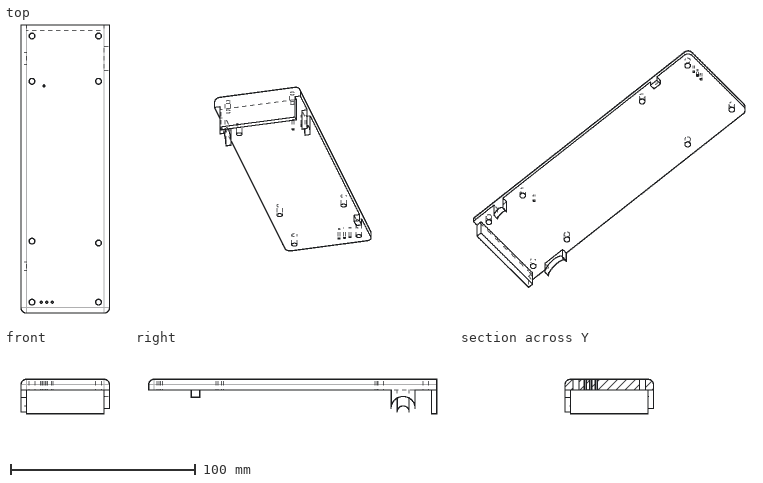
import cadquery as cq

plate_width = 48.0
plate_length = 156.0
plate_thickness = 6.0
edge_radius = 3.0

total_height = 18.85
wall_thickness = 3.0
end_wall_depth = total_height - plate_thickness

leg_center_y = plate_length - 18.25
left_leg_width = 6.5
left_leg_depth = 11.8
right_leg_width = 2 * left_leg_width
right_leg_depth = 9.9

tab_start_y = 23.0
tab_length = 4.7
tab_depth = 3.8

screw_hole_diameter = 3.0
hole_inset = 6.0
left_hole_x = hole_inset
right_hole_x = plate_width - hole_inset
inner_back_hole_y = plate_length - 30.5
left_inner_front_hole_y = 39.0
right_inner_front_hole_y = 38.0

pinhole_diameter = 1.0
front_pinhole_xs = (11.0, 14.0, 17.0)
back_pinhole_x = 12.5
back_pinhole_y = plate_length - 33.0


def make_plate():
    """Plate rounded along the sides and front; the back end stays flat."""
    plate = cq.Workplane("XY").box(plate_width, plate_length, plate_thickness, centered=False)
    plate = plate.edges("|Z and <Y").fillet(edge_radius)
    return plate.faces(">Z").edges("not(>Y)").fillet(edge_radius)


def block_below(x, y, width, length, depth):
    """Rectangular block hanging from the underside of the plate."""
    return cq.Workplane("XY").box(width, length, depth, centered=False).translate((x, y, -depth))


def arched_leg(x, width, depth):
    """Leg along a side edge with a half-round arch cut into its lower end."""
    radius = width / 2
    return (
        cq.Workplane("YZ", origin=(x, leg_center_y, 0))
        .moveTo(-radius, 0)
        .lineTo(-radius, -depth)
        .threePointArc((0, radius - depth), (radius, -depth))
        .lineTo(radius, 0)
        .close()
        .extrude(wall_thickness)
    )


def through_holes(diameter, centers):
    """Vertical cutters that pass through the plate."""
    return cq.Workplane("XY").pushPoints(centers).circle(diameter / 2).extrude(plate_thickness)


right_leg_x = plate_width - wall_thickness
end_wall_width = plate_width - 2 * wall_thickness
end_wall_y = plate_length - wall_thickness

screw_hole_centers = [
    (left_hole_x, hole_inset),
    (right_hole_x, hole_inset),
    (left_hole_x, left_inner_front_hole_y),
    (right_hole_x, right_inner_front_hole_y),
    (left_hole_x, inner_back_hole_y),
    (right_hole_x, inner_back_hole_y),
    (left_hole_x, plate_length - hole_inset),
    (right_hole_x, plate_length - hole_inset),
]
pinhole_centers = [(x, hole_inset) for x in front_pinhole_xs]
pinhole_centers.append((back_pinhole_x, back_pinhole_y))

result = (
    make_plate()
    .union(block_below(wall_thickness, end_wall_y, end_wall_width, wall_thickness, end_wall_depth))
    .union(arched_leg(0, left_leg_width, left_leg_depth))
    .union(arched_leg(right_leg_x, right_leg_width, right_leg_depth))
    .union(block_below(0, tab_start_y, wall_thickness, tab_length, tab_depth))
    .cut(through_holes(screw_hole_diameter, screw_hole_centers))
    .cut(through_holes(pinhole_diameter, pinhole_centers))
)